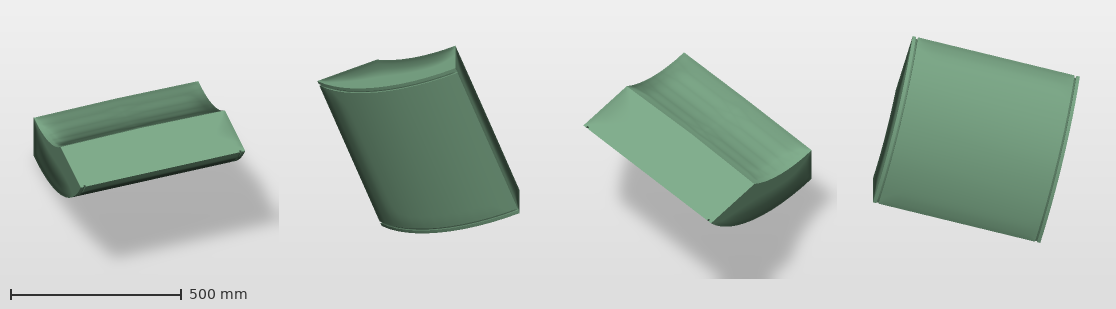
import cadquery as cq

width = 508.0
height = 248.0
outer_radius = 480.5
axis_x = 15.0
inner_radius_end = 329.0
inner_crown = 3.5
groove_offset = 10.0
groove_width = 6.0
groove_depth = 6.0

half_width = width / 2
inner_end_z = outer_radius - inner_radius_end
inner_mid_z = inner_end_z + inner_crown


def ring(section):
    """Turn a YZ section a full turn about the ring axis."""
    return section.revolve(360, (0, outer_radius), (1, outer_radius))


def section_plane():
    """Plane through the ring axis, looking along X."""
    return cq.Workplane("YZ", origin=(axis_x, 0, 0))


def crowned_ring():
    """Ring whose concave face is two shallow cones meeting at mid-width."""
    section = (
        section_plane()
        .moveTo(-half_width, 0)
        .lineTo(half_width, 0)
        .lineTo(half_width, inner_end_z)
        .lineTo(0, inner_mid_z)
        .lineTo(-half_width, inner_end_z)
        .close()
    )
    return ring(section)


def rim_groove(side):
    """Rectangular groove around the rim; side is -1 or +1 along Y."""
    groove_y = side * (half_width - groove_offset - groove_width / 2)
    section = section_plane().moveTo(groove_y, 0).rect(groove_width, 2 * groove_depth)
    return ring(section)


body = crowned_ring()
for side in (-1, 1):
    body = body.cut(rim_groove(side))

envelope_length = axis_x + outer_radius
segment_envelope = cq.Workplane("XY").box(envelope_length, width, height, centered=(False, True, False))
result = body.intersect(segment_envelope)